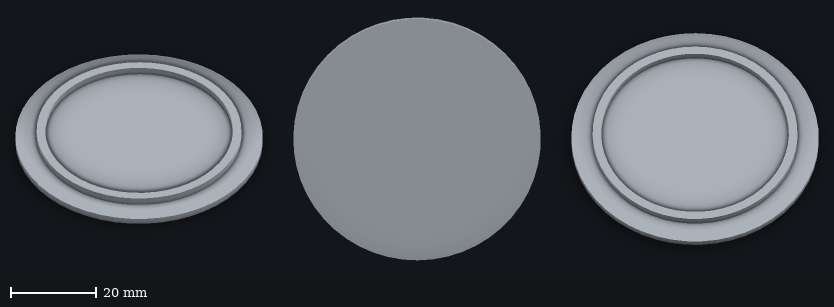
import cadquery as cq

flange_diameter = 58.0
flange_thickness = 1.5
rim_outer_diameter = 48.0
rim_inner_diameter = 44.0
rim_height = 2.0

flange = cq.Workplane("XY").circle(flange_diameter / 2).extrude(flange_thickness)

rim = (
    cq.Workplane("XY", origin=(0, 0, flange_thickness))
    .circle(rim_outer_diameter / 2)
    .circle(rim_inner_diameter / 2)
    .extrude(rim_height)
)

result = flange.union(rim)